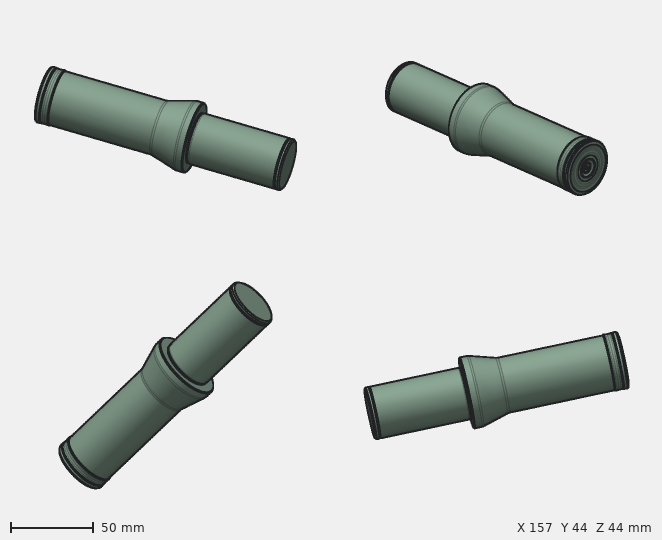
import cadquery as cq

LENGTH = 157.0
FLANGE_RADIUS = 22.0
HANDLE_RADIUS = 34.0 / 2
SHANK_RADIUS = 32.0 / 2
NECK_RADIUS = 31.5 / 2

FACE_RADIUS = 15.0
FACE_EDGE_X = 0.2
FACE_EDGE_RADIUS = 15.5
SHOULDER_X = 0.5
RIDGE_X = 1.4
RIDGE_RADIUS = 17.6
RING_RADIUS = 17.5
SNAP_GROOVE_X = 3.3
SNAP_GROOVE_WIDTH = 0.8
SNAP_GROOVE_DEPTH = 0.2
VALLEY_FLOOR_START = 5.3
VALLEY_FLOOR_END = 6.8
VALLEY_RADIUS = 17.3
VALLEY_END = 8.0
RING_END = 8.8
RING_SLOPE_LENGTH = 0.6

CONE_START = 74.3
CONE_BLEND_LENGTH = 1.4
CONE_BLEND_RISE = 0.3
FLANGE_START = 91.2
CONE_END_RADIUS = 21.8
FLANGE_EDGE_LENGTH = 1.3
FLANGE_END = 97.2
FLANGE_CHAMFER = 0.6

SHANK_START = 98.1
SHANK_LEAD_LENGTH = 1.0
SHANK_END_CHAMFER = 1.0
END_GROOVE_X = 153.5
END_GROOVE_WIDTH = 1.0
END_GROOVE_DEPTH = 0.2

RELIEF_DEPTH = 0.4
RELIEF_OUTER_RADIUS = 14.5
RELIEF_FLOOR_OUTER_RADIUS = 12.9
RELIEF_FLOOR_INNER_RADIUS = 11.8
BOSS_RADIUS = 10.0
BOSS_STEP_RADIUS = 8.3
BOSS_STEP_HEIGHT = 0.2
DISH_RADIUS = 6.1
DISH_LIP_WIDTH = 0.6
DISH_LIP_DEPTH = 0.2
DISH_DEPTH = 1.1
DISH_FLOOR_RADIUS = 3.6
BUTTON_RADIUS = 2.7
BUTTON_HEIGHT = 0.3
BUTTON_HOLE_RADIUS = 1.0


def turned(points):
    """Revolve a closed outline of (x, radius) points about the X axis."""
    return cq.Workplane("XY").polyline(points).close().revolve(360, (0, 0, 0), (1, 0, 0))


def ring_groove(x, width, depth, surface_radius):
    """Square-sided ring to cut from a cylindrical surface."""
    floor_radius = surface_radius - depth
    return turned([
        (x, floor_radius),
        (x, surface_radius + depth),
        (x + width, surface_radius + depth),
        (x + width, floor_radius),
    ])


def end_face_profile():
    """Relief of the left end face, from the axis outward."""
    boss_x = BOSS_STEP_HEIGHT
    button_x = DISH_DEPTH - BUTTON_HEIGHT
    return [
        (DISH_DEPTH, 0),
        (DISH_DEPTH, BUTTON_HOLE_RADIUS),
        (button_x, BUTTON_HOLE_RADIUS),
        (button_x, BUTTON_RADIUS),
        (DISH_DEPTH, BUTTON_RADIUS),
        (DISH_DEPTH, DISH_FLOOR_RADIUS),
        (DISH_LIP_DEPTH, DISH_RADIUS - DISH_LIP_WIDTH),
        (DISH_LIP_DEPTH, DISH_RADIUS),
        (0, DISH_RADIUS),
        (0, BOSS_STEP_RADIUS),
        (boss_x, BOSS_STEP_RADIUS),
        (boss_x, BOSS_RADIUS),
        (RELIEF_DEPTH, RELIEF_FLOOR_INNER_RADIUS),
        (RELIEF_DEPTH, RELIEF_FLOOR_OUTER_RADIUS),
        (0, RELIEF_OUTER_RADIUS),
        (0, FACE_RADIUS),
    ]


def grip_profile():
    """Rounded rim, shallow valley between the grip rings, and step down to the grip."""
    return [
        (FACE_EDGE_X, FACE_EDGE_RADIUS),
        (SHOULDER_X, HANDLE_RADIUS),
        (RIDGE_X, RIDGE_RADIUS),
        (SNAP_GROOVE_X, RING_RADIUS),
        (SNAP_GROOVE_X + SNAP_GROOVE_WIDTH, RING_RADIUS),
        (VALLEY_FLOOR_START, VALLEY_RADIUS),
        (VALLEY_FLOOR_END, VALLEY_RADIUS),
        (VALLEY_END, RING_RADIUS),
        (RING_END, RING_RADIUS),
        (RING_END + RING_SLOPE_LENGTH, HANDLE_RADIUS),
    ]


def flange_profile():
    """Cone, flange and the short neck that meets the shank."""
    return [
        (CONE_START, HANDLE_RADIUS),
        (CONE_START + CONE_BLEND_LENGTH, HANDLE_RADIUS + CONE_BLEND_RISE),
        (FLANGE_START, CONE_END_RADIUS),
        (FLANGE_START + FLANGE_EDGE_LENGTH, FLANGE_RADIUS),
        (FLANGE_END - FLANGE_CHAMFER, FLANGE_RADIUS),
        (FLANGE_END, FLANGE_RADIUS - FLANGE_CHAMFER),
        (FLANGE_END, NECK_RADIUS),
        (SHANK_START, NECK_RADIUS),
        (SHANK_START, 0),
    ]


def make_handle():
    blank = turned(end_face_profile() + grip_profile() + flange_profile())
    return blank.cut(ring_groove(SNAP_GROOVE_X, SNAP_GROOVE_WIDTH, SNAP_GROOVE_DEPTH, RING_RADIUS))


def make_shank():
    blank = turned([
        (SHANK_START, 0),
        (SHANK_START, NECK_RADIUS),
        (SHANK_START + SHANK_LEAD_LENGTH, SHANK_RADIUS),
        (LENGTH - SHANK_END_CHAMFER, SHANK_RADIUS),
        (LENGTH, SHANK_RADIUS - SHANK_END_CHAMFER),
        (LENGTH, 0),
    ])
    return blank.cut(ring_groove(END_GROOVE_X, END_GROOVE_WIDTH, END_GROOVE_DEPTH, SHANK_RADIUS))


handle = make_handle()
shank = make_shank()

result = cq.Compound.makeCompound([handle.val(), shank.val()])